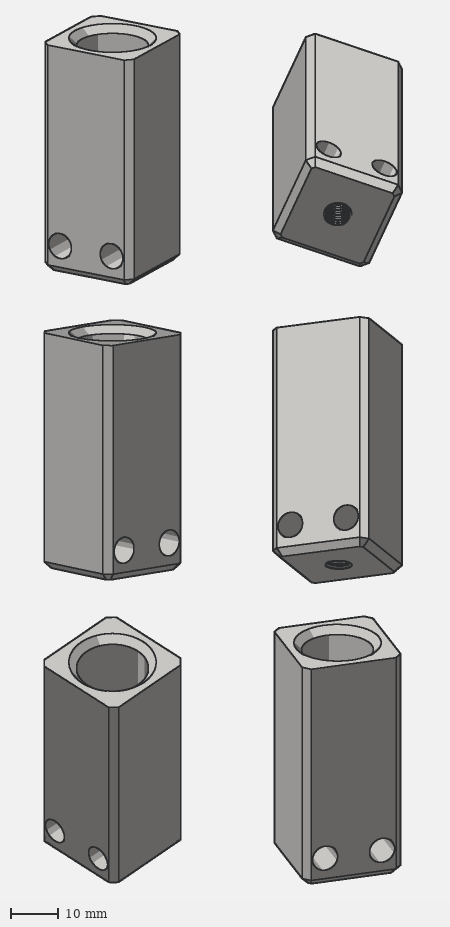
import cadquery as cq
import math

width = 21.95
height = 50.8
edge_chamfer = 1.5

bore_diameter = 15.25
bore_mouth_diameter = 18.5
bore_mouth_chamfer = (bore_mouth_diameter - bore_diameter) / 2
bore_mouth_angle = 45.0
bore_floor_z = 12.7

thread_minor_diameter = 5.05
thread_major_diameter = 6.15
thread_pitch = 1.0
thread_flank_angle = 30.0
thread_root_width = thread_pitch / 8
thread_overlap = 0.1
groove_overrun = thread_pitch
thread_floor_angle = 225.0

cross_hole_diameter = 5.6
cross_hole_spacing = 12.7
cross_hole_z = 6.3

block = cq.Workplane("XY").box(width, width, height, centered=(True, True, False))
block = block.edges("|Z").chamfer(edge_chamfer)
block = block.faces("<Z").chamfer(edge_chamfer)

bore = (
    cq.Workplane("XY", origin=(0, 0, bore_floor_z))
    .circle(bore_diameter / 2)
    .extrude(height - bore_floor_z)
)
bore_mouth = (
    cq.Workplane("XY", origin=(0, 0, height))
    .circle(bore_mouth_diameter / 2)
    .extrude(-bore_mouth_chamfer, taper=bore_mouth_angle)
)


def make_thread_groove():
    """Helical groove running out one pitch beyond both ends of the tapped hole."""
    inner_radius = thread_minor_diameter / 2 - thread_overlap
    root_radius = thread_major_diameter / 2
    root_half = thread_root_width / 2
    flank_slope = math.tan(math.radians(thread_flank_angle))
    mouth_half = root_half + (root_radius - inner_radius) * flank_slope
    helix_height = bore_floor_z + 2 * groove_overrun
    helix = cq.Wire.makeHelix(thread_pitch, helix_height, inner_radius)
    groove = (
        cq.Workplane("XZ")
        .polyline(
            [
                (inner_radius, -mouth_half),
                (root_radius, -root_half),
                (root_radius, root_half),
                (inner_radius, mouth_half),
            ]
        )
        .close()
        .sweep(cq.Workplane(obj=helix), isFrenet=True)
    )
    turns_to_floor = (bore_floor_z + groove_overrun) / thread_pitch
    start_angle = thread_floor_angle - 360 * turns_to_floor
    return groove.rotate((0, 0, 0), (0, 0, 1), start_angle).translate((0, 0, -groove_overrun))


tap_overrun = 1.5 * thread_pitch
tap_core = (
    cq.Workplane("XY", origin=(0, 0, -tap_overrun))
    .circle(thread_minor_diameter / 2)
    .extrude(bore_floor_z + 2 * tap_overrun)
)
tapped_hole = tap_core.union(make_thread_groove())

cross_holes = (
    cq.Workplane("XZ", origin=(0, 0, cross_hole_z))
    .pushPoints([(-cross_hole_spacing / 2, 0), (cross_hole_spacing / 2, 0)])
    .circle(cross_hole_diameter / 2)
    .extrude(width / 2, both=True)
)

result = block.cut(bore).cut(bore_mouth).cut(cross_holes).cut(tapped_hole)